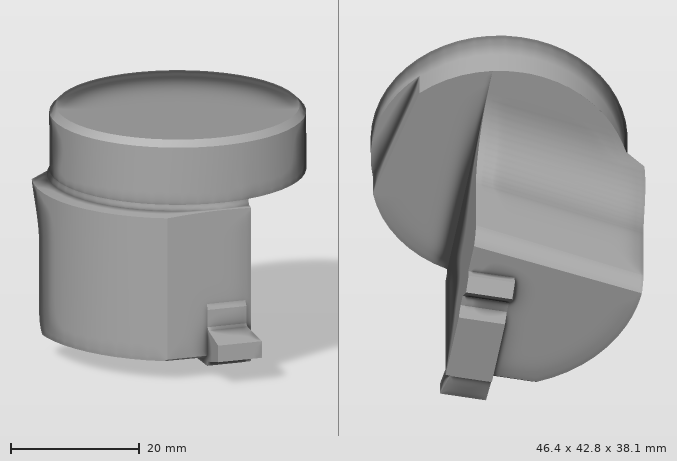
import cadquery as cq

head_radius = 40.0 / 2
head_depth = 10.3
head_chamfer = 1.0
back_step_y = 17.1
back_step_depth = 5.8

stem_radius = 22.75
shoulder_radius = 20.4
shoulder_depth = 11.15
rim_depth = 11.68

twist = 10.0
flat_offset = 20.8
back_offset = 4.65
wall_x = -4.4
throat_depth = 20.65
throat_end_x = -14.35
throat_end_depth = 10.7
throat_mid_x = -6.9
throat_mid_depth = 14.22
stem_depth = 35.05
toe_height = 3.25
toe_width = 1.65
toe_radius = 4.65
bottom_rise = 0.32
flat_chamfer = 0.45

clip_front = -2.7
clip_top_depth = 26.2
clip_left = 1.3
bump_offset = 21.13
bump_lead_in = 0.9
bump_bottom_depth = 29.9
tab_root_top_depth = 30.35
tab_tip_offset = 25.95
tab_tip_top_depth = 31.55
tab_tip_bottom_depth = 34.25
tab_root_offset = 21.45
tab_root_bottom_depth = 35.4
sill_right = 20.9
sill_left = 9.55
sill_top_left = 7.95
sill_depth = 36.25
leg_right = 6.15
leg_tip = 3.25
leg_tip_depth = 38.1
leg_left_tip = 1.05
leg_left_depth = 36.6

reach = 55.6


def turn(shape):
    return shape.rotate((0, 0, 0), (0, 0, 1), -twist)


def box_between(x0, x1, y0, y1, z0, z1):
    return cq.Workplane("XY").box(x1 - x0, y1 - y0, z1 - z0, centered=False).translate((x0, y0, z0))


def make_head():
    head = cq.Workplane("XY").circle(head_radius).extrude(-head_depth)
    head = head.faces(">Z").chamfer(head_chamfer)
    step = box_between(-reach, reach, back_step_y, reach, -reach, -back_step_depth)
    return head.cut(step)


def make_stem():
    stem = (
        cq.Workplane("XZ")
        .moveTo(0, -head_depth)
        .lineTo(head_radius, -head_depth)
        .lineTo(shoulder_radius, -shoulder_depth)
        .lineTo(stem_radius, -rim_depth)
        .lineTo(stem_radius, -stem_depth)
        .lineTo(0, -stem_depth)
        .close()
        .revolve(360, (0, 0, 0), (0, 1, 0))
    )

    flats = turn(
        cq.Workplane("XZ")
        .moveTo(-reach, 0)
        .lineTo(flat_offset, 0)
        .lineTo(flat_offset, flat_chamfer - stem_depth)
        .lineTo(flat_offset - flat_chamfer, -stem_depth)
        .lineTo(-reach, -stem_depth)
        .close()
        .extrude(reach)
        .translate((0, back_offset, 0))
    )

    side = (
        cq.Workplane("XZ")
        .moveTo(-head_radius, -head_depth)
        .lineTo(throat_end_x, -throat_end_depth)
        .threePointArc((throat_mid_x, -throat_mid_depth), (wall_x, -throat_depth))
        .lineTo(wall_x, toe_height - stem_depth)
        .radiusArc((wall_x + toe_width, -stem_depth), -toe_radius)
        .lineTo(reach, -stem_depth)
        .lineTo(reach, -head_depth)
        .close()
        .extrude(reach, both=True)
    )

    bottom_wedge = (
        cq.Workplane("YZ")
        .moveTo(back_offset, -stem_depth)
        .lineTo(-stem_radius, bottom_rise - stem_depth)
        .lineTo(-stem_radius, -stem_depth)
        .close()
        .extrude(reach, both=True)
    )
    return stem.intersect(flats).intersect(side).cut(bottom_wedge)


def make_pocket():
    return turn(box_between(clip_left, reach, clip_front, back_offset, -reach, -clip_top_depth))


def make_clip():
    outline = [
        (clip_left, -clip_top_depth),
        (flat_offset, -clip_top_depth),
        (bump_offset, -clip_top_depth - bump_lead_in),
        (bump_offset, -bump_bottom_depth),
        (tab_root_offset, -tab_root_top_depth),
        (tab_tip_offset, -tab_tip_top_depth),
        (tab_tip_offset, -tab_tip_bottom_depth),
        (tab_root_offset, -tab_root_bottom_depth),
        (sill_right, -sill_depth),
        (sill_left, -sill_depth),
        (sill_top_left, -stem_depth),
        (leg_right, -stem_depth),
        (leg_tip, -leg_tip_depth),
        (leg_left_tip, -leg_left_depth),
        (clip_left, -stem_depth),
    ]
    clip = (
        cq.Workplane("XZ")
        .polyline(outline)
        .close()
        .extrude(back_offset - clip_front)
        .translate((0, back_offset, 0))
    )
    behind_axis = box_between(0, reach, 0, reach, -reach, 0)
    outside = turn(box_between(flat_offset, reach, -reach, reach, -reach, 0))
    return turn(clip).cut(behind_axis.intersect(outside))


housing = make_head().union(make_stem()).cut(make_pocket())
clip = make_clip()

result = cq.Compound.makeCompound([housing.val(), clip.val()])